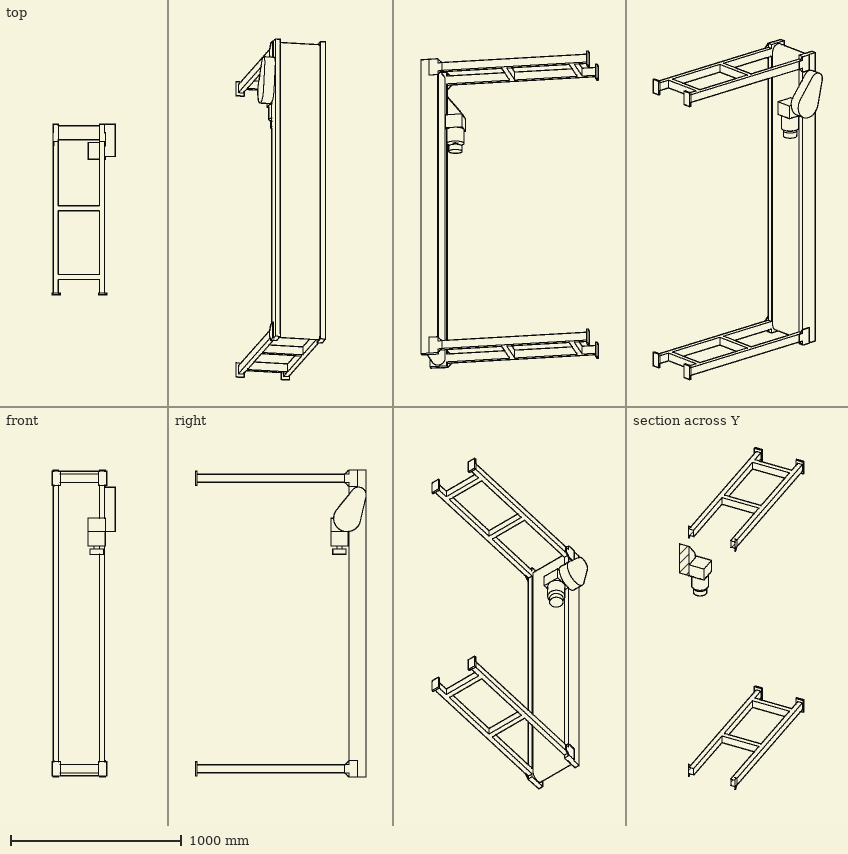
import cadquery as cq
import math


rail_length = 1800.0
rail_width = 30.0
rail_depth = 100.0
rail_gap = 241.0
frame_width = 2 * rail_width + rail_gap
rail_starts = (0, rail_width + rail_gap)

belt_thickness = 83.0
belt_end_gap = 7.0

leg_height = 49.0
frame_depth = 1000.0
foot_width = 49.0
foot_height = 85.0
foot_thickness = 10.0
foot_overhang = 5.0
rung_thickness = 30.0
rung_backs = (477.0, 880.0)

gusset_thickness = 5.0
gusset_left_overhang = 0.9
gusset_starts = (-gusset_left_overhang, frame_width)
gusset_height = 97.0
gusset_chamfer = 27.0
gusset_back = rail_depth / 2
gusset_front = rail_depth + gusset_chamfer
leg_center_z = rail_length / 2 - gusset_height / 2

overall_width = 370.0
guard_width = overall_width - foot_overhang - frame_width
guard_top_radius = 45.0
guard_top_y = -guard_top_radius
guard_top_z = 755.0
guard_low_radius = 80.0
guard_low_y = -112.0
guard_low_z = 617.0

drive_size = 100.0
drive_rail_clearance = 5.0
drive_overhang = 4.0
gearbox_top = 617.0
gearbox_height = 80.0
motor_length = 85.0
neck_diameter = 30.0
neck_length = 16.0
disc_diameter = 80.0
disc_thickness = 32.0
drive_x = frame_width + drive_overhang - drive_size / 2
drive_y = -rail_depth - drive_rail_clearance - drive_size / 2


def box(x_range, y_range, z_range):
    """Box between two limits on each axis."""
    size = [high - low for low, high in (x_range, y_range, z_range)]
    corner = cq.Vector(x_range[0], y_range[0], z_range[0])
    return cq.Workplane("XY").box(*size, centered=False).translate(corner)


def belt():
    """Flat belt with round ends, filling the gap between the rails."""
    length = rail_length - 2 * belt_end_gap
    return (
        cq.Workplane("YZ", origin=(rail_width, -rail_depth / 2, 0))
        .slot2D(length, belt_thickness, 90)
        .extrude(rail_gap)
    )


def gusset(x_start, center_z):
    """Plate with two chamfered front corners."""
    plate = box(
        (x_start, x_start + gusset_thickness),
        (-gusset_front, -gusset_back),
        (center_z - gusset_height / 2, center_z + gusset_height / 2),
    )
    return plate.faces("<Y").edges("|X").chamfer(gusset_chamfer)


def leg_frame(center_z):
    """Two legs with gussets and feet, joined by rungs."""
    leg_z = (center_z - leg_height / 2, center_z + leg_height / 2)
    foot_z = (center_z - foot_height / 2, center_z + foot_height / 2)
    foot_back = foot_thickness - frame_depth
    parts = []
    for x in rail_starts:
        foot_x = x - foot_overhang
        parts.append(box((x, x + rail_width), (foot_back, -rail_depth), leg_z))
        parts.append(box((foot_x, foot_x + foot_width), (-frame_depth, foot_back), foot_z))
    for gusset_x in gusset_starts:
        parts.append(gusset(gusset_x, center_z))
    for back in rung_backs:
        parts.append(box((rail_width, rail_width + rail_gap), (-back - rung_thickness, -back), leg_z))
    return parts


def guard():
    """Guard whose outline wraps a small upper circle and a larger lower circle."""
    run = math.hypot(guard_low_y - guard_top_y, guard_low_z - guard_top_z)
    heading = math.atan2(guard_low_z - guard_top_z, guard_low_y - guard_top_y)
    spread = math.acos((guard_top_radius - guard_low_radius) / run)

    def rim(y, z, radius, angle):
        return (y + radius * math.cos(angle), z + radius * math.sin(angle))

    def top_rim(angle):
        return rim(guard_top_y, guard_top_z, guard_top_radius, angle)

    def low_rim(angle):
        return rim(guard_low_y, guard_low_z, guard_low_radius, angle)

    return (
        cq.Workplane("YZ", origin=(frame_width, 0, 0))
        .moveTo(*top_rim(heading + spread))
        .threePointArc(top_rim(heading + math.pi), top_rim(heading - spread))
        .lineTo(*low_rim(heading - spread))
        .threePointArc(low_rim(heading), low_rim(heading + spread))
        .close()
        .extrude(guard_width)
    )


def drive():
    """Square gearbox with the motor, neck and end disc hanging below it."""
    return (
        cq.Workplane("XY", origin=(drive_x, drive_y, gearbox_top))
        .rect(drive_size, drive_size)
        .extrude(-gearbox_height)
        .faces("<Z").workplane()
        .circle(drive_size / 2)
        .extrude(motor_length)
        .faces("<Z").workplane()
        .circle(neck_diameter / 2)
        .extrude(neck_length)
        .faces("<Z").workplane()
        .circle(disc_diameter / 2)
        .extrude(disc_thickness)
    )


result = belt()
rail_z = (-rail_length / 2, rail_length / 2)
for rail_x in rail_starts:
    result = result.union(box((rail_x, rail_x + rail_width), (-rail_depth, 0), rail_z))
for frame_z in (leg_center_z, -leg_center_z):
    for member in leg_frame(frame_z):
        result = result.union(member)
result = result.union(guard()).union(drive())